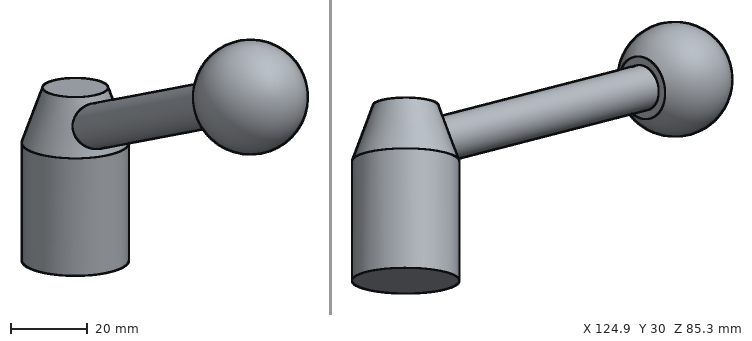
import cadquery as cq
import math

hub_diameter = 28.0
hub_straight_height = 32.0
hub_height = 47.0

tilt_angle = 20.0
arm_diameter = 12.0

ball_diameter = 30.0
ball_flat_offset = 12.5
ball_center_x = 95.9
ball_center_z = 70.29

hub_radius = hub_diameter / 2
ball_radius = ball_diameter / 2
cone_height = hub_height - hub_straight_height
hub_top_radius = hub_radius - cone_height * math.tan(math.radians(tilt_angle))

arm_direction = cq.Vector(math.cos(math.radians(tilt_angle)), 0, math.sin(math.radians(tilt_angle)))
arm_start = cq.Vector(0, 0, ball_center_z - ball_center_x * math.tan(math.radians(tilt_angle)))
ball_center = cq.Vector(ball_center_x, 0, ball_center_z)
arm_length = (ball_center - arm_start).Length
ball_flat_radius = math.sqrt(ball_radius**2 - ball_flat_offset**2)


def make_hub():
    """Revolve the half section of the hub about the Z axis."""
    return (
        cq.Workplane("XZ")
        .moveTo(0, 0)
        .lineTo(hub_radius, 0)
        .lineTo(hub_radius, hub_straight_height)
        .lineTo(hub_top_radius, hub_height)
        .lineTo(0, hub_height)
        .close()
        .revolve(360, (0, 0, 0), (0, 1, 0))
    )


def make_arm():
    """Cylinder from the hub axis to the ball center."""
    arm = cq.Solid.makeCylinder(arm_diameter / 2, arm_length, arm_start, arm_direction)
    return cq.Workplane(arm)


def make_ball():
    """Revolve a half disc, cut short by the flat, about the arm axis."""
    ball_plane = cq.Plane(origin=ball_center.toTuple(), xDir=arm_direction.toTuple(), normal=(0, -1, 0))
    return (
        cq.Workplane(ball_plane)
        .moveTo(-ball_flat_offset, 0)
        .lineTo(-ball_flat_offset, ball_flat_radius)
        .threePointArc((0, ball_radius), (ball_radius, 0))
        .close()
        .revolve(360, (0, 0, 0), (1, 0, 0))
    )


result = make_hub().union(make_arm()).union(make_ball())